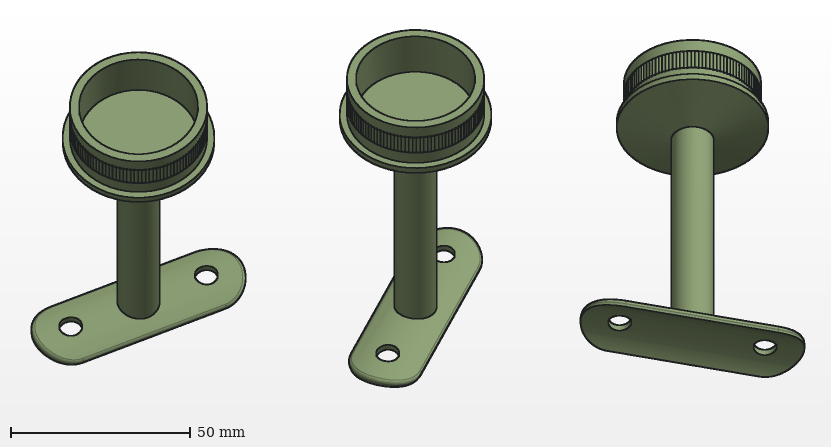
import cadquery as cq
import math

total_height = 93.5

pipe_radius = 21.2
plate_thickness = 2.0
plate_end_radius = 10.0
plate_length = 64.0
plate_edge_fillet = 1.0
screw_hole_diameter = 6.45
screw_hole_offset = 20.9

stem_diameter = 12.0
flange_diameter = 42.4
cup_diameter = 38.3
cup_bore_diameter = 33.2
cup_height = 14.0
flange_thickness = 2.0
cone_height = 4.6

knurl_teeth = 112
knurl_tip_radius = cup_diameter / 2
knurl_root_radius = 18.7
knurl_width = 6.0
knurl_below_rim = 4.0

saddle_radius = pipe_radius + plate_thickness
pipe_axis_z = -math.sqrt(pipe_radius**2 - plate_end_radius**2)
flange_top_z = total_height - cup_height
flange_bottom_z = flange_top_z - flange_thickness
knurl_top_z = total_height - knurl_below_rim
knurl_bottom_z = knurl_top_z - knurl_width
cup_floor_z = flange_top_z
knurl_core_radius = (cup_bore_diameter / 2 + knurl_root_radius) / 2
cone_bottom_z = flange_bottom_z - cone_height


def pipe_cylinder(radius):
    """Solid cylinder along Y, coaxial with the pipe under the plate."""
    return (
        cq.Workplane("XZ", origin=(0, 0, pipe_axis_z))
        .circle(radius)
        .extrude(plate_length, both=True)
    )


def make_saddle_plate():
    """Curved plate whose edge walls stand square to the pipe surface."""
    stadium = (
        cq.Workplane("XY", origin=(0, 0, pipe_axis_z))
        .slot2D(plate_length, 2 * plate_end_radius, 90)
        .extrude(total_height)
    )
    underside = pipe_cylinder(pipe_radius).intersect(stadium).faces(">Z").val()
    plate = cq.Workplane(underside.thicken(plate_thickness))
    plate = plate.faces(cq.selectors.AreaNthSelector(-1)).edges().fillet(plate_edge_fillet)
    screw_holes = (
        cq.Workplane("XY", origin=(0, 0, pipe_axis_z))
        .pushPoints([(0, -screw_hole_offset), (0, screw_hole_offset)])
        .circle(screw_hole_diameter / 2)
        .extrude(total_height)
    )
    return plate.cut(screw_holes)


def make_foot():
    """Saddle plate with the stem standing on its crown, one solid."""
    stem = (
        cq.Workplane("XY")
        .circle(stem_diameter / 2)
        .extrude(cone_bottom_z)
        .cut(pipe_cylinder(saddle_radius))
    )
    return make_saddle_plate().union(stem)


def point_at(radius, angle):
    """Point on a circle about Z."""
    return (radius * math.cos(angle), radius * math.sin(angle))


def make_knurl_band():
    """Ring of straight round-topped teeth that meet in sharp valleys."""
    tooth_angle = 2 * math.pi / knurl_teeth
    outline = cq.Workplane("XY", origin=(0, 0, knurl_bottom_z)).moveTo(knurl_root_radius, 0)
    for tooth in range(knurl_teeth):
        tip_angle = (tooth + 0.5) * tooth_angle
        root_angle = (tooth + 1) * tooth_angle
        outline = outline.threePointArc(
            point_at(knurl_tip_radius, tip_angle),
            point_at(knurl_root_radius, root_angle),
        )
    return outline.close().circle(cup_bore_diameter / 2).extrude(knurl_width)


def make_cap():
    """Turned cap: cone, flange and open cup with a knurl band."""
    profile = [
        (0, cone_bottom_z),
        (stem_diameter / 2, cone_bottom_z),
        (flange_diameter / 2, flange_bottom_z),
        (flange_diameter / 2, flange_top_z),
        (cup_diameter / 2, flange_top_z),
        (cup_diameter / 2, knurl_bottom_z),
        (knurl_core_radius, knurl_bottom_z),
        (knurl_core_radius, knurl_top_z),
        (cup_diameter / 2, knurl_top_z),
        (cup_diameter / 2, total_height),
        (cup_bore_diameter / 2, total_height),
        (cup_bore_diameter / 2, cup_floor_z),
        (0, cup_floor_z),
    ]
    turned = cq.Workplane("XZ").polyline(profile).close().revolve(360, (0, 0), (0, 1))
    return turned.union(make_knurl_band())


foot = make_foot()
cap = make_cap()
result = cq.Compound.makeCompound([foot.val(), cap.val()])